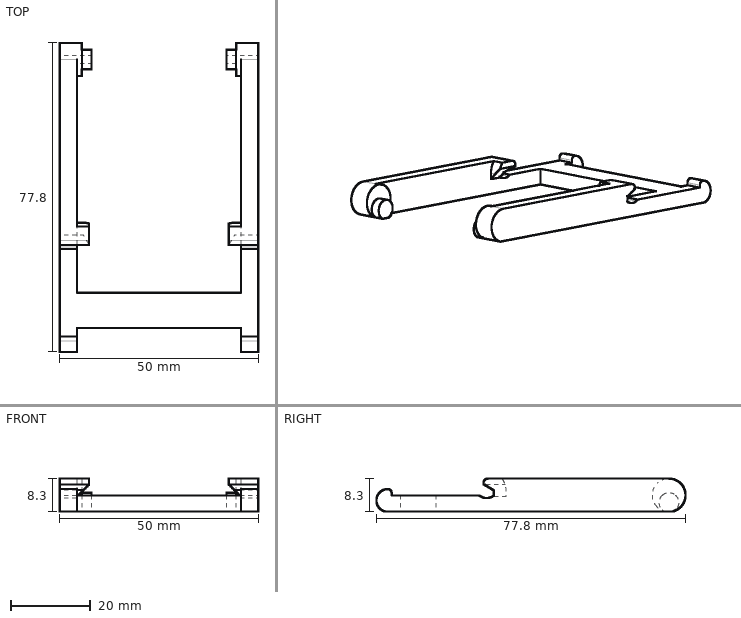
import cadquery as cq
import math

width = 50.0
length = 77.75
height = 8.3

arm_width = 4.4
floor_z = 4.05

pivot_radius = 4.2
pivot_y = length - pivot_radius
pivot_z = height - pivot_radius
boss_reach = 5.6
pin_reach = 8.1
pin_radius = 2.5
pin_z = 2.25

hook_radius = 2.9
hook_z = 2.8
hook_back_y = 3.9
hook_lip_radius = hook_back_y - hook_radius

catch_tip_y = 26.9
catch_nose_radius = 1.2
catch_under_drop = 0.3
slot_wall_y = 29.5
slot_wall_top = 5.4
slot_bottom = (27.9, 3.4)
slot_front = (26.4, 3.7)
ramp_end_y = 25.9

flange_reach = 7.5
flange_edge_height = 1.5
flange_back_y = 32.6
flange_back_z = 5.4
flange_back_radius = 4.9

bar_front_y = 6.1
bar_back_y = 15.0


def catch_front(outline):
    """Continue an outline from the catch's top edge down its nose to the slot wall."""
    nose_y = catch_tip_y + catch_nose_radius
    nose_z = height - catch_nose_radius
    under_y = nose_y - math.sqrt(catch_nose_radius**2 - catch_under_drop**2)
    return (
        outline.lineTo(nose_y, height)
        .threePointArc((catch_tip_y, nose_z), (under_y, nose_z - catch_under_drop))
        .lineTo(slot_wall_y, slot_wall_top)
    )


def arm():
    """Arm outline in the YZ plane, extruded inward from X = 0."""
    rear_drop = math.sqrt(pivot_radius**2 - pivot_z**2)
    hook_drop = math.sqrt(hook_radius**2 - hook_z**2)
    hook_top = hook_z + hook_radius
    lip_z = hook_top - hook_lip_radius
    lip_mid = hook_lip_radius * math.sqrt(0.5)

    outline = (
        cq.Workplane("YZ")
        .moveTo(pivot_y + rear_drop, 0)
        .threePointArc((length, pivot_z), (pivot_y, height))
    )
    outline = (
        catch_front(outline)
        .lineTo(slot_wall_y, floor_z)
        .threePointArc(slot_bottom, slot_front)
        .lineTo(ramp_end_y, floor_z)
        .lineTo(hook_back_y, floor_z)
        .lineTo(hook_back_y, lip_z)
        .threePointArc((hook_radius + lip_mid, lip_z + lip_mid), (hook_radius, hook_top))
        .threePointArc((0, hook_z), (hook_radius - hook_drop, 0))
        .close()
    )
    return outline.extrude(arm_width)


def pivot():
    """Boss and pin at the rear; both are trimmed flush with the underside."""
    boss = cq.Workplane("YZ").center(pivot_y, pivot_z).circle(pivot_radius).extrude(boss_reach)
    above_base = cq.Workplane("XY").rect(2 * width, 2 * length).extrude(height)
    pin = cq.Workplane("YZ").center(pivot_y, pin_z).circle(pin_radius).extrude(pin_reach)
    return boss.union(pin).intersect(above_base)


def catch_flange():
    """Catch outline extended inward, cut below by a 45 degree slope up from the arm."""
    back_rise = height - flange_back_z
    back_centre_y = flange_back_y - flange_back_radius
    back_top_y = back_centre_y + math.sqrt(flange_back_radius**2 - back_rise**2)
    back_mid_z = flange_back_z + back_rise / 2
    back_mid_y = back_centre_y + math.sqrt(flange_back_radius**2 - (back_rise / 2) ** 2)
    edge_z = height - flange_edge_height
    slope_root_z = edge_z - (flange_reach - arm_width)

    side = (
        catch_front(cq.Workplane("YZ").moveTo(back_top_y, height))
        .lineTo(slot_wall_y, slope_root_z)
        .lineTo(flange_back_y, slope_root_z)
        .lineTo(flange_back_y, flange_back_z)
        .threePointArc((back_mid_y, back_mid_z), (back_top_y, height))
        .close()
        .extrude(flange_reach)
    )
    section = (
        cq.Workplane("XZ")
        .moveTo(arm_width, slope_root_z)
        .lineTo(flange_reach, edge_z)
        .lineTo(flange_reach, height)
        .lineTo(arm_width, height)
        .close()
        .extrude(-length)
    )
    return side.intersect(section)


def crossbar():
    return cq.Workplane("XY").box(
        width - arm_width, bar_back_y - bar_front_y, floor_z, centered=(True, False, False)
    ).translate((0, bar_front_y, 0))


left_side = arm().union(pivot()).union(catch_flange()).translate((-width / 2, 0, 0))
right_side = left_side.mirror("YZ")
result = left_side.union(right_side).union(crossbar())